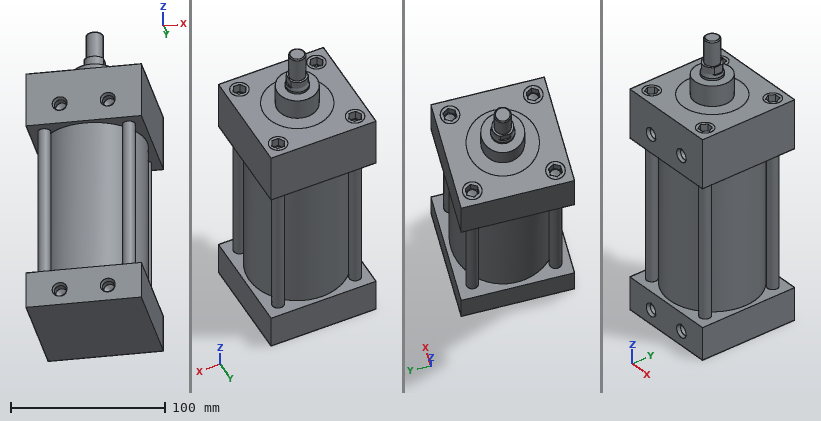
import cadquery as cq
import math

block_side = 76.2
overall_length = 215.9

rear_cap_height = 25.4
head_height = 38.1
head_top = 171.45
head_bottom = head_top - head_height
gland_boss_height = 15.875
gland_top = head_top + gland_boss_height

tube_diameter = 69.85
bolt_offset = 27.94
bolt_points = [(x, y) for x in (-bolt_offset, bolt_offset) for y in (-bolt_offset, bolt_offset)]
bolt_shank_diameter = 8.4
bolt_head_diameter = 12.7
bolt_head_height = 12.7
socket_across_flats = 8.0
socket_across_corners = socket_across_flats / math.cos(math.pi / 6)
socket_depth = 6.35
socket_drill_diameter = 7.2

port_half_spacing = 15.9
port_mouth_diameter = 9.8
port_diameter = 7.9
port_taper_depth = 2.5
port_depth = 7.0
rear_port_height = 11.1
head_port_height = 147.6

drill_point_half_angle = math.radians(59)

gland_diameter = 47.6
gland_boss_diameter = 28.6

rod_diameter = 15.88
rod_neck_diameter = 14.29
rod_stud_diameter = 11.11
rod_collar_height = 1.59
rod_taper_height = 2.5
rod_stud_length = 19.05
rod_tip_chamfer = 0.8
wrench_flat_width = 12.7
wrench_flat_runout = 0.5


def disc(diameter, bottom, top):
    """Cylinder on the main axis between two heights."""
    return cq.Workplane("XY").workplane(offset=bottom).circle(diameter / 2).extrude(top - bottom)


def block(bottom, height):
    """Square block centred on the main axis."""
    return cq.Workplane("XY").workplane(offset=bottom).rect(block_side, block_side).extrude(height)


def drill_point_height(diameter):
    """Height of the cone that a drill of this diameter leaves."""
    return diameter / 2 / math.tan(drill_point_half_angle)


def ports(height):
    """Cutters for a pair of blind ports with tapered mouths and drill points, entering from -Y."""
    mouth_radius = port_mouth_diameter / 2
    radius = port_diameter / 2
    profile = (
        cq.Workplane("XY")
        .polyline([
            (0, 0),
            (mouth_radius, 0),
            (radius, port_taper_depth),
            (radius, port_depth),
            (0, port_depth + drill_point_height(port_diameter)),
        ])
        .close()
    )
    cutter = profile.revolve(360, (0, 0, 0), (0, 1, 0))
    left = cutter.translate((-port_half_spacing, -block_side / 2, height))
    right = cutter.translate((port_half_spacing, -block_side / 2, height))
    return left.union(right)


def bolt(x, y):
    """Tie bolt rising from the rear cap, its socket head flush with the top of the head."""
    shank = disc(bolt_shank_diameter, rear_cap_height, head_top)
    cap = disc(bolt_head_diameter, head_top - bolt_head_height, head_top)
    socket = (
        cq.Workplane("XY")
        .workplane(offset=head_top - socket_depth)
        .polygon(6, socket_across_corners)
        .extrude(socket_depth)
    )
    drill_point = cq.Workplane(
        cq.Solid.makeCone(
            socket_drill_diameter / 2,
            0,
            drill_point_height(socket_drill_diameter),
            pnt=cq.Vector(0, 0, head_top - socket_depth),
            dir=cq.Vector(0, 0, -1),
        )
    )
    return shank.union(cap).cut(socket).cut(drill_point).translate((x, y, 0))


def make_housing():
    """Rear cap, tube and the four tie bolts as one solid."""
    housing = block(0, rear_cap_height).cut(ports(rear_port_height))
    housing = housing.union(disc(tube_diameter, rear_cap_height, head_bottom))
    for x, y in bolt_points:
        housing = housing.union(bolt(x, y))
    return housing


def make_head():
    """Front block, bored for the gland and counterbored for the tie bolts."""
    head = block(head_bottom, head_height).cut(ports(head_port_height))
    head = head.cut(disc(gland_diameter, head_bottom, head_top))
    return (
        head.faces(">Z")
        .workplane(origin=(0, 0, head_top))
        .pushPoints(bolt_points)
        .cboreHole(bolt_shank_diameter, bolt_head_diameter, bolt_head_height)
    )


def make_gland():
    """Rod gland: a disc flush with the head and a boss standing above it, bored for the rod."""
    gland = disc(gland_diameter, head_bottom, head_top)
    gland = gland.union(disc(gland_boss_diameter, head_top, gland_top))
    return gland.cut(disc(rod_diameter, head_bottom, gland_top))


def make_rod():
    """Piston rod standing on the tube: collar, taper, neck with two wrench flats, and stud."""
    taper_bottom = gland_top + rod_collar_height
    neck_bottom = taper_bottom + rod_taper_height
    neck_top = overall_length - rod_stud_length
    stud_radius = rod_stud_diameter / 2
    rod = (
        cq.Workplane("XZ")
        .polyline([
            (0, head_bottom),
            (rod_diameter / 2, head_bottom),
            (rod_diameter / 2, taper_bottom),
            (rod_neck_diameter / 2, neck_bottom),
            (rod_neck_diameter / 2, neck_top),
            (stud_radius, neck_top),
            (stud_radius, overall_length - rod_tip_chamfer),
            (stud_radius - rod_tip_chamfer, overall_length),
            (0, overall_length),
        ])
        .close()
        .revolve(360, (0, 0, 0), (0, 1, 0))
    )
    flats_bottom = neck_bottom - wrench_flat_runout
    flats = (
        cq.Workplane("XY")
        .workplane(offset=flats_bottom)
        .rect(2 * rod_diameter, rod_diameter)
        .rect(wrench_flat_width, rod_diameter)
        .extrude(neck_top - flats_bottom)
    )
    return rod.cut(flats)


housing = make_housing()
head = make_head()
gland = make_gland()
rod = make_rod()

result = cq.Compound.makeCompound([housing.val(), head.val(), gland.val(), rod.val()])